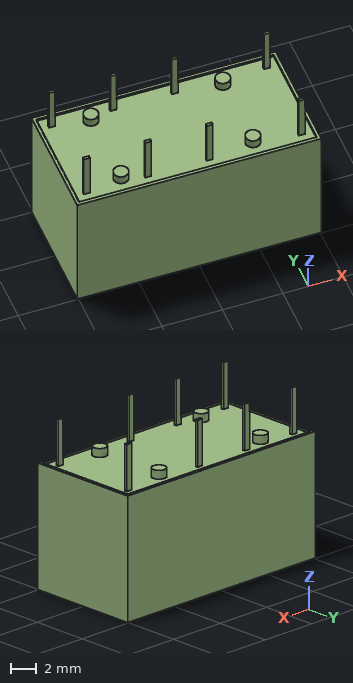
import cadquery as cq

case_length = 20.2
case_width = 10.0
case_height = 10.5
rim_width = 0.28
recess_depth = 0.18
floor_z = case_height - recess_depth

overall_height = 14.2
pin_span = 17.78
pin_grid_places = (0, 2, 4, 7)
pin_grid = pin_span / pin_grid_places[-1]
pin_row_spacing = 3 * pin_grid
pin_width = 0.5
pin_thickness = 0.25
pin_height = overall_height - floor_z

standoff_diameter = 1.21
standoff_top_z = case_height + 0.55
standoff_height = standoff_top_z - floor_z
standoff_spacing_x = 10.9
standoff_spacing_y = 6.59
standoff_center_x = -0.38


def make_case():
    """Box standing on Z = 0, hollowed slightly on top to leave a thin rim."""
    box = cq.Workplane("XY").box(case_length, case_width, case_height, centered=(True, True, False))
    recess = (
        cq.Workplane("XY", origin=(0, 0, floor_z))
        .rect(case_length - 2 * rim_width, case_width - 2 * rim_width)
        .extrude(recess_depth)
    )
    return box.cut(recess)


def make_pins():
    """Flat pins rising from the recess floor in two parallel rows."""
    positions = [
        (place * pin_grid - pin_span / 2, side * pin_row_spacing / 2)
        for place in pin_grid_places
        for side in (-1, 1)
    ]
    return (
        cq.Workplane("XY", origin=(0, 0, floor_z))
        .pushPoints(positions)
        .rect(pin_width, pin_thickness)
        .extrude(pin_height)
    )


def make_standoffs():
    """Round feet on the recess floor that stand a little above the rim."""
    return (
        cq.Workplane("XY", origin=(standoff_center_x, 0, floor_z))
        .rarray(standoff_spacing_x, standoff_spacing_y, 2, 2)
        .circle(standoff_diameter / 2)
        .extrude(standoff_height)
    )


result = make_case().union(make_pins()).union(make_standoffs())